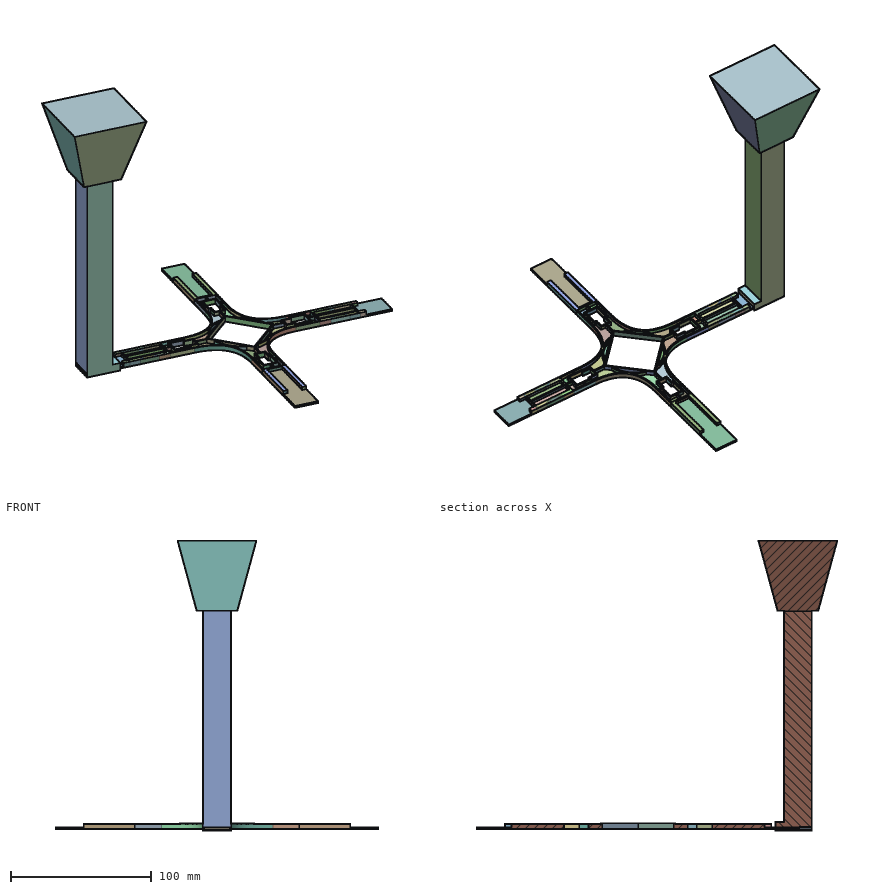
import cadquery as cq
import math

FLOOR_TOP = 1.0
PLATE_TOP = 1.5
RIB_TOP = 3.8
DIAMOND_TOP = 4.4
POST_BOTTOM = -1.0
FOOT_TOP = 5.0
POST_TOP = 155.0
HOPPER_TOP = 205.0

SPAN = 229.2
ARM_WIDTH = 18.0
RIB = 1.0
CORNER_REACH = 39.5
OPENING_VERTEX = 25.0
RING_RADIUS = 22.5
NECK_RADIUS = 12.8
NECK_DEPTH = 2.3
NECK_CENTER = 74.3
LONG_ARM_END = 90.0

TAIL_LENGTH = 20.0
TRAY_START = 58.5
RECESS_START = 60.0
RECESS_WIDTH = 11.5
TIP = SPAN / 2
TRAY_END = TIP - TAIL_LENGTH

WINDOW_START = 35.3
WINDOW_STEP = 41.7
WINDOW_END = 52.5
WINDOW_WIDE = 9.7
WINDOW_NARROW = 6.7
SIDE_RIB_CENTER = 47.0

COLUMN_SIZE = 20.0
FOOT_BACK = -97.5
COLUMN_BACK = -103.5
COLUMN_FRONT = COLUMN_BACK - COLUMN_SIZE
COLUMN_CENTER = (COLUMN_BACK + COLUMN_FRONT) / 2
HOPPER_BASE = 29.0
HOPPER_MOUTH = 56.0

LONG_ARMS = (90, 270)
SHORT_ARMS = (0, 180)
ALL_ARMS = SHORT_ARMS + LONG_ARMS


def block(x_range, y_range, z_range):
    """Box between the given limits."""
    (x0, x1), (y0, y1), (z0, z1) = x_range, y_range, z_range
    return cq.Workplane("XY").box(x1 - x0, y1 - y0, z1 - z0, centered=False).translate((x0, y0, z0))


def arm_block(start, end, width, bottom, top):
    """Box centred on the arm that points along +X."""
    return block((start, end), (-width / 2, width / 2), (bottom, top))


def on_arm(shape, angle):
    """Turn a shape from the +X arm to the arm at the given angle."""
    return shape.rotate((0, 0, 0), (0, 0, 1), angle)


def cross(inset, bottom, top):
    """Cross-shaped slab whose sides and long ends lie inside the frame outline by the inset."""
    half = ARM_WIDTH / 2 - inset
    reach = LONG_ARM_END - inset
    slab = arm_block(-TRAY_START, TRAY_START, 2 * half, bottom, top)
    slab = slab.union(on_arm(arm_block(-reach, reach, 2 * half, bottom, top), 90))
    corner = (
        cq.Workplane("XY", origin=(0, 0, bottom))
        .moveTo(0, 0)
        .lineTo(CORNER_REACH, 0)
        .lineTo(CORNER_REACH, half)
        .bezier([(CORNER_REACH, half), (half, half), (half, CORNER_REACH)])
        .lineTo(0, CORNER_REACH)
        .close()
        .extrude(top - bottom)
    )
    for angle in ALL_ARMS:
        slab = slab.union(on_arm(corner, angle))
    neck_x = ARM_WIDTH / 2 - NECK_DEPTH + NECK_RADIUS
    necks = (
        cq.Workplane("XY", origin=(0, 0, bottom))
        .rect(2 * neck_x, 2 * NECK_CENTER, forConstruction=True)
        .vertices()
        .circle(NECK_RADIUS + inset)
        .extrude(top - bottom)
    )
    return slab.cut(necks)


def diamond(vertex, bottom, top):
    """Square prism standing on its corner, with vertices on the X and Y axes."""
    side = vertex * math.sqrt(2)
    prism = cq.Workplane("XY", origin=(0, 0, bottom)).rect(side, side).extrude(top - bottom)
    return on_arm(prism, 45)


def window(margin, top):
    """Stepped window of the +X arm, grown by the margin on every side."""
    narrow = arm_block(WINDOW_START - margin, WINDOW_END, WINDOW_NARROW + 2 * margin, 0, top)
    wide = arm_block(WINDOW_STEP - margin, WINDOW_END + margin, WINDOW_WIDE + 2 * margin, 0, top)
    return narrow.union(wide)


def tray():
    """Plate with a U-shaped wall and a bare tail, on the +X arm."""
    plate = arm_block(TRAY_START, TIP, ARM_WIDTH, 0, PLATE_TOP)
    walls = arm_block(TRAY_START, TRAY_END, ARM_WIDTH, 0, RIB_TOP)
    recess = arm_block(RECESS_START, TRAY_END, RECESS_WIDTH, PLATE_TOP, RIB_TOP)
    return plate.union(walls.cut(recess))


def frame():
    """Ribbed cross with a diamond opening, four windows and a tray on each long arm."""
    outline = cross(0, 0, RIB_TOP)
    body = outline.cut(cross(RIB, FLOOR_TOP, RIB_TOP))

    ribs = cq.Workplane("XY").circle(RING_RADIUS).circle(RING_RADIUS - RIB).extrude(RIB_TOP)
    for angle in ALL_ARMS:
        reach = LONG_ARM_END if angle in LONG_ARMS else TRAY_START
        center_rib = arm_block(OPENING_VERTEX, reach, RIB, 0, RIB_TOP)
        side_rib = arm_block(
            SIDE_RIB_CENTER - RIB / 2, SIDE_RIB_CENTER + RIB / 2, ARM_WIDTH, 0, RIB_TOP
        )
        arm_ribs = center_rib.union(side_rib).union(window(RIB, RIB_TOP))
        ribs = ribs.union(on_arm(arm_ribs, angle))
    body = body.union(ribs.intersect(outline))

    wall_vertex = OPENING_VERTEX + RIB * math.sqrt(2)
    body = body.union(diamond(wall_vertex, 0, DIAMOND_TOP))
    body = body.cut(diamond(OPENING_VERTEX, 0, DIAMOND_TOP))
    for angle in ALL_ARMS:
        body = body.cut(on_arm(window(0, RIB_TOP), angle))
    for angle in LONG_ARMS:
        body = body.union(on_arm(tray(), angle), clean=False)
    return body


def post():
    """Square column with a foot, slotted from back to front for the tray tail."""
    sides = (-COLUMN_SIZE / 2, COLUMN_SIZE / 2)
    column = block(sides, (COLUMN_FRONT, COLUMN_BACK), (POST_BOTTOM, POST_TOP))
    foot = block(sides, (COLUMN_FRONT, FOOT_BACK), (POST_BOTTOM, FOOT_TOP))
    slot = block((-ARM_WIDTH / 2, ARM_WIDTH / 2), (COLUMN_FRONT, FOOT_BACK), (0, PLATE_TOP))
    return column.union(foot).cut(slot)


def hopper():
    """Square frustum that widens upwards from the top of the post."""
    return (
        cq.Workplane("XY", origin=(0, COLUMN_CENTER, POST_TOP))
        .rect(HOPPER_BASE, HOPPER_BASE)
        .workplane(offset=HOPPER_TOP - POST_TOP)
        .rect(HOPPER_MOUTH, HOPPER_MOUTH)
        .loft(ruled=True)
    )


side_trays = [on_arm(tray(), angle).val() for angle in SHORT_ARMS]

result = cq.Compound.makeCompound([frame().val(), *side_trays, post().val(), hopper().val()])